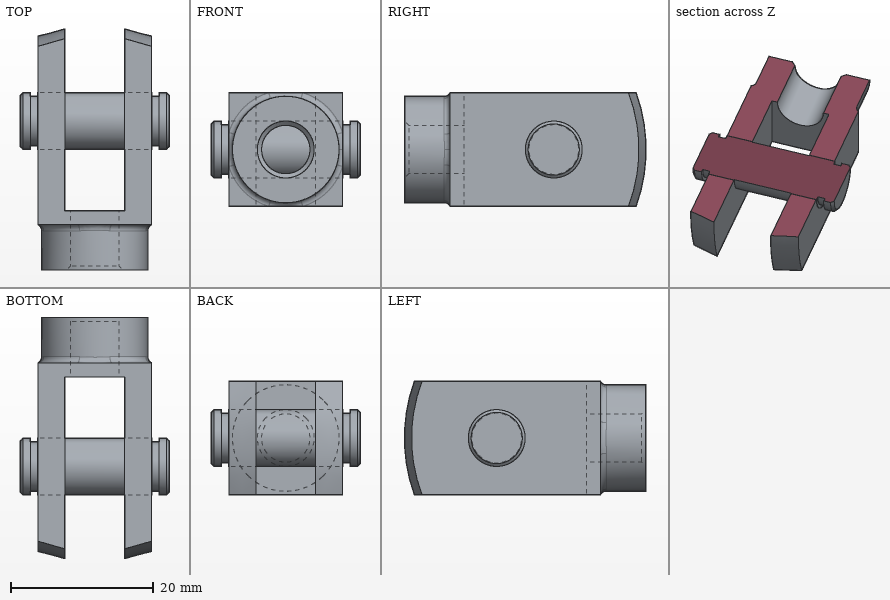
import cadquery as cq
import math

fork_width = 16.0
shank_length = 6.4
fork_length = 34.0
slot_width = 8.4
slot_floor_y = 8.4
arm_inner_x = slot_width / 2
arm_outer_x = fork_width / 2

tip_radius = 23.4
tip_taper_angle = 15.0
tip_axis_y = fork_length - tip_radius

shank_diameter = 15.0
shank_fillet = 0.85
bore_diameter = 6.8
bore_mouth_diameter = 8.0
bore_chamfer = (bore_mouth_diameter - bore_diameter) / 2

pin_diameter = 8.0
pin_length = 21.0
pin_axis_y = 21.0
pin_end_chamfer = 0.4
groove_diameter = 7.0
groove_width = 1.0
pin_head_length = 1.45


def x_cylinder(diameter, length, axis_y):
    """Cylinder along X, centred on the plane X = 0."""
    return (
        cq.Workplane("YZ", origin=(-length / 2, axis_y, 0))
        .circle(diameter / 2)
        .extrude(length)
    )


def make_tip_envelope():
    """Double cone about the tip axis that bounds the arm tips."""
    taper_slope = math.tan(math.radians(tip_taper_angle))
    outer_y = fork_length - (arm_outer_x - arm_inner_x) * taper_slope
    return (
        cq.Workplane("XY")
        .moveTo(-arm_outer_x, tip_axis_y)
        .lineTo(-arm_outer_x, outer_y)
        .lineTo(-arm_inner_x, fork_length)
        .lineTo(arm_inner_x, fork_length)
        .lineTo(arm_outer_x, outer_y)
        .lineTo(arm_outer_x, tip_axis_y)
        .close()
        .revolve(360, (0, tip_axis_y, 0), (1, tip_axis_y, 0))
    )


def make_blank():
    """Square bar with rounded, tapered tips and a filleted round shank."""
    bar = (
        cq.Workplane("XZ", origin=(0, shank_length, 0))
        .rect(fork_width, fork_width)
        .extrude(shank_length - fork_length)
        .intersect(make_tip_envelope())
    )
    shank = (
        cq.Workplane("XZ", origin=(0, shank_length, 0))
        .circle(shank_diameter / 2)
        .extrude(shank_length)
    )
    shank_root = cq.selectors.BoxSelector(
        (-arm_outer_x, shank_length - shank_fillet, -arm_outer_x),
        (arm_outer_x, shank_length + shank_fillet, arm_outer_x),
    )
    return bar.union(shank).edges("%CIRCLE").edges(shank_root).fillet(shank_fillet)


def make_slot():
    """Open slot between the two arms."""
    slot_length = fork_length - slot_floor_y
    return (
        cq.Workplane("XY", origin=(0, slot_floor_y, 0))
        .box(slot_width, slot_length, fork_width, centered=(True, False, True))
    )


def make_bore():
    """Bore from the shank end into the slot, with a chamfered mouth."""
    return (
        cq.Workplane("XY")
        .moveTo(0, 0)
        .lineTo(bore_mouth_diameter / 2, 0)
        .lineTo(bore_diameter / 2, bore_chamfer)
        .lineTo(bore_diameter / 2, slot_floor_y)
        .lineTo(0, slot_floor_y)
        .close()
        .revolve(360, (0, 0, 0), (0, 1, 0))
    )


def make_fork():
    pin_hole = x_cylinder(pin_diameter, fork_width, pin_axis_y)
    return make_blank().cut(make_slot()).cut(make_bore()).cut(pin_hole)


def make_pin():
    pin = x_cylinder(pin_diameter, pin_length, pin_axis_y).faces("<X or >X").chamfer(pin_end_chamfer)
    groove = x_cylinder(pin_diameter, groove_width, pin_axis_y).cut(
        x_cylinder(groove_diameter, groove_width, pin_axis_y)
    )
    groove_x = pin_length / 2 - pin_head_length - groove_width / 2
    for side in (-1, 1):
        pin = pin.cut(groove.translate((side * groove_x, 0, 0)))
    return pin


fork = make_fork()
pin = make_pin()

result = cq.Compound.makeCompound([fork.val(), pin.val()])